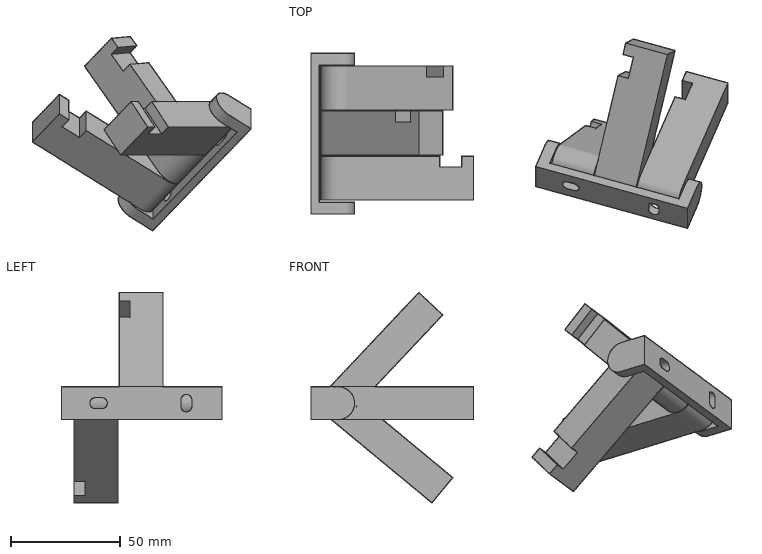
import cadquery as cq

bracket_length = 73.5
bracket_depth = 20.0
thickness = 15.0
edge_radius = thickness / 2
back_wall = 3.9
cheek_width = 5.5

slot_length = 8.0
slot_width = 5.0
front_slot_y = 16.4
rear_slot_y = bracket_length - 17.0

pivot_x = 12.0
arm_reach = 62.4
arm_width = 20.2
arm_pitch = 20.6
first_arm_y = cheek_width + 0.9
arm_angles = [0, 46.7, -39.6]

notch_length = 10.0
notch_depth = 5.0
notch_to_end = 5.5


def centred_box(x_start, y_start, x_size, y_size, z_size):
    """Box placed by its low X and Y corner and centred on Z = 0."""
    return cq.Workplane("XY").box(x_size, y_size, z_size, centered=(False, False, True)).translate(
        (x_start, y_start, 0)
    )


def make_wall_slot(y_centre, angle):
    """Cutter for an obround hole; angle 0 runs along Y, 90 along Z."""
    return (
        cq.Workplane("YZ")
        .center(y_centre, 0)
        .slot2D(slot_length, slot_width, angle)
        .extrude(back_wall)
    )


def make_bracket():
    cheek_round_x = bracket_depth - edge_radius
    straight_part = centred_box(0, 0, cheek_round_x, bracket_length, thickness)
    round_part = (
        cq.Workplane("XZ")
        .center(cheek_round_x, 0)
        .circle(edge_radius)
        .extrude(-bracket_length)
    )
    body = straight_part.union(round_part)
    arm_space = centred_box(
        back_wall, cheek_width, bracket_depth, bracket_length - 2 * cheek_width, thickness
    )
    return (
        body.cut(arm_space)
        .cut(make_wall_slot(front_slot_y, 90))
        .cut(make_wall_slot(rear_slot_y, 0))
    )


def make_arm(index, angle):
    """Round-rooted arm with a notch near its free end, turned about the pivot axis."""
    arm = (
        cq.Workplane("XZ")
        .moveTo(0, edge_radius)
        .lineTo(arm_reach, edge_radius)
        .lineTo(arm_reach, -edge_radius)
        .lineTo(0, -edge_radius)
        .threePointArc((-edge_radius, 0), (0, edge_radius))
        .close()
        .extrude(-arm_width)
    )
    notch = centred_box(
        arm_reach - notch_to_end - notch_length,
        arm_width - notch_depth,
        notch_length,
        notch_depth,
        thickness,
    )
    return (
        arm.cut(notch)
        .rotate((0, 0, 0), (0, 1, 0), -angle)
        .translate((pivot_x, first_arm_y + index * arm_pitch, 0))
    )


bracket = make_bracket()
arms = [make_arm(index, angle) for index, angle in enumerate(arm_angles)]

result = cq.Compound.makeCompound([bracket.val(), *[arm.val() for arm in arms]])